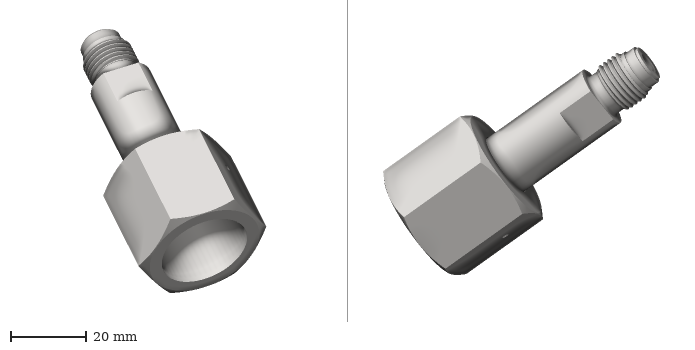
import cadquery as cq
import math

OVERALL_LENGTH = 76.5

TIP_END = 0.8
TIP_RADIUS = 5.0
NOSE_END = 3.6
NOSE_RADIUS = 5.65
NECK_RADIUS = 6.1
BARREL_START = 15.7
ROOT_FILLET = 0.6

THREAD_START = 4.9
THREAD_END = 12.55
THREAD_ROOT_RADIUS = 6.3
THREAD_CREST_RADIUS = 7.1
THREAD_END_CHAMFER_ANGLE = 45.0
THREAD_PITCH = 1.41
THREAD_FLANK_ANGLE = 30.0
THREAD_CREST_WIDTH = 0.15
THREAD_EMBED = 0.1
CREST_CLEARANCE = 0.1
RIDGE_START = 3.9
RIDGE_TURNS = 7

BARREL_RADIUS = 8.65
FLAT_OFFSET = 7.05
FLAT_END = 25.9
GLAND_BORE_RADIUS = 2.3
COUNTERSINK_RADIUS = 3.0
COUNTERSINK_DEPTH = 0.4

NUT_START = 47.75
NUT_LENGTH = OVERALL_LENGTH - NUT_START
NUT_ACROSS_FLATS = 31.75
NUT_ACROSS_CORNERS = NUT_ACROSS_FLATS / math.cos(math.radians(30))
NUT_FACE_RADIUS = 15.7
NUT_CHAMFER_ANGLE = 30.0
NUT_WALL = 5.35
NUT_CLEARANCE_RADIUS = 8.9
NUT_SOCKET_RADIUS = 12.25

VENT_STATION = 58.4
VENT_RADIUS = 1.0
VENT_TILT = 30.0

COLLAR_START = NUT_START + NUT_WALL
COLLAR_LENGTH = 3.8
COLLAR_END = COLLAR_START + COLLAR_LENGTH


def cylinder(radius, start, end):
    """Cylinder on the X axis between two stations."""
    return cq.Workplane("YZ", origin=(start, 0, 0)).circle(radius).extrude(end - start)


def make_gland_blank():
    """Turned profile of the gland, without thread, flats or bore."""
    fillet_start = BARREL_START - ROOT_FILLET
    fillet_top = NECK_RADIUS + ROOT_FILLET
    fillet_middle = (
        fillet_start + ROOT_FILLET * math.sin(math.radians(45)),
        fillet_top - ROOT_FILLET * math.cos(math.radians(45)),
    )
    return (
        cq.Workplane("XY")
        .moveTo(0, 0)
        .lineTo(0, TIP_RADIUS)
        .lineTo(TIP_END, TIP_RADIUS)
        .lineTo(TIP_END, NOSE_RADIUS)
        .lineTo(NOSE_END, NOSE_RADIUS)
        .lineTo(NOSE_END, NECK_RADIUS)
        .lineTo(fillet_start, NECK_RADIUS)
        .threePointArc(fillet_middle, (BARREL_START, fillet_top))
        .lineTo(BARREL_START, BARREL_RADIUS)
        .lineTo(COLLAR_START, BARREL_RADIUS)
        .lineTo(COLLAR_START, NUT_SOCKET_RADIUS)
        .lineTo(COLLAR_END, NUT_SOCKET_RADIUS)
        .lineTo(COLLAR_END, 0)
        .close()
        .revolve(360, (0, 0, 0), (1, 0, 0))
    )


def make_ridge():
    """Right-hand V ridge, swept up the Z axis and then laid along X."""
    inner_radius = THREAD_ROOT_RADIUS - THREAD_EMBED
    crest_half = THREAD_CREST_WIDTH / 2
    ridge_height = THREAD_CREST_RADIUS - inner_radius
    base_half = crest_half + ridge_height * math.tan(math.radians(THREAD_FLANK_ANGLE))
    helix = cq.Wire.makeHelix(THREAD_PITCH, THREAD_PITCH * RIDGE_TURNS, inner_radius)
    ridge = (
        cq.Workplane("XZ")
        .moveTo(inner_radius, -base_half)
        .lineTo(THREAD_CREST_RADIUS, -crest_half)
        .lineTo(THREAD_CREST_RADIUS, crest_half)
        .lineTo(inner_radius, base_half)
        .close()
        .sweep(cq.Workplane(helix), isFrenet=True)
    )
    return ridge.rotate((0, 0, 0), (0, 1, 0), 90).translate((RIDGE_START, 0, 0))


def make_thread_envelope():
    """Threaded band with a little spare height over the crests and a conical chamfer at each end."""
    envelope_radius = THREAD_CREST_RADIUS + CREST_CLEARANCE
    chamfer_height = envelope_radius - THREAD_ROOT_RADIUS
    chamfer_length = chamfer_height / math.tan(math.radians(THREAD_END_CHAMFER_ANGLE))
    return (
        cq.Workplane("XY")
        .moveTo(THREAD_START, 0)
        .lineTo(THREAD_START, THREAD_ROOT_RADIUS)
        .lineTo(THREAD_START + chamfer_length, envelope_radius)
        .lineTo(THREAD_END - chamfer_length, envelope_radius)
        .lineTo(THREAD_END, THREAD_ROOT_RADIUS)
        .lineTo(THREAD_END, 0)
        .close()
        .revolve(360, (0, 0, 0), (1, 0, 0))
    )


def make_thread():
    """Ridge on its root cylinder, both trimmed to the chamfered band."""
    ridge_end = RIDGE_START + THREAD_PITCH * RIDGE_TURNS
    root = cylinder(THREAD_ROOT_RADIUS, RIDGE_START - THREAD_PITCH, ridge_end + THREAD_PITCH)
    return root.union(make_ridge()).intersect(make_thread_envelope())


def make_wrench_flats():
    """The two slabs removed above and below the front of the barrel."""
    slab_height = BARREL_RADIUS - FLAT_OFFSET
    slab = cq.Workplane("XY").box(
        FLAT_END - BARREL_START, 2 * BARREL_RADIUS, slab_height, centered=(False, True, False)
    )
    upper = slab.translate((BARREL_START, 0, FLAT_OFFSET))
    lower = upper.mirror("XY")
    return upper.union(lower)


def make_gland_bore():
    """Through bore with a shallow countersink at the tip."""
    return (
        cq.Workplane("XY")
        .moveTo(0, 0)
        .lineTo(0, COUNTERSINK_RADIUS)
        .lineTo(COUNTERSINK_DEPTH, GLAND_BORE_RADIUS)
        .lineTo(COLLAR_END, GLAND_BORE_RADIUS)
        .lineTo(COLLAR_END, 0)
        .close()
        .revolve(360, (0, 0, 0), (1, 0, 0))
    )


def make_gland():
    """Threaded gland whose collar sits inside the nut."""
    return make_gland_blank().cut(make_wrench_flats()).union(make_thread()).cut(make_gland_bore())


def make_nut_blank():
    """Hexagon with corners on the Y axis, its corners turned off conically at both ends."""
    hexagon = (
        cq.Workplane("YZ", origin=(NUT_START, 0, 0))
        .polygon(6, NUT_ACROSS_CORNERS)
        .extrude(NUT_LENGTH)
    )
    corner_radius = NUT_ACROSS_CORNERS / 2
    chamfer_length = (corner_radius - NUT_FACE_RADIUS) * math.tan(math.radians(NUT_CHAMFER_ANGLE))
    envelope = (
        cq.Workplane("XY")
        .moveTo(NUT_START, 0)
        .lineTo(NUT_START, NUT_FACE_RADIUS)
        .lineTo(NUT_START + chamfer_length, corner_radius)
        .lineTo(OVERALL_LENGTH - chamfer_length, corner_radius)
        .lineTo(OVERALL_LENGTH, NUT_FACE_RADIUS)
        .lineTo(OVERALL_LENGTH, 0)
        .close()
        .revolve(360, (0, 0, 0), (1, 0, 0))
    )
    return hexagon.intersect(envelope)


def make_vent_holes():
    """One drill through the whole nut, square to its lower front and upper rear faces."""
    drill = (
        cq.Workplane("XZ", origin=(VENT_STATION, 0, 0))
        .circle(VENT_RADIUS)
        .extrude(NUT_ACROSS_FLATS, both=True)
    )
    return drill.rotate((0, 0, 0), (1, 0, 0), VENT_TILT)


def make_nut():
    """Hexagon nut with a clearance hole for the barrel and a socket open at the far end."""
    clearance = cylinder(NUT_CLEARANCE_RADIUS, NUT_START, COLLAR_START)
    socket = cylinder(NUT_SOCKET_RADIUS, COLLAR_START, OVERALL_LENGTH)
    return make_nut_blank().cut(clearance).cut(socket).cut(make_vent_holes())


gland = make_gland()
nut = make_nut()
result = cq.Compound.makeCompound([gland.solids().val(), nut.solids().val()])